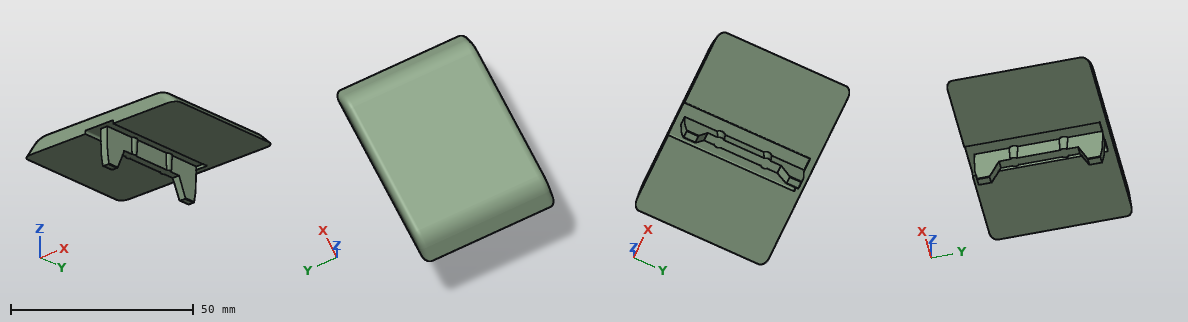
import cadquery as cq
import math

length = 56.55
width = 40.0
plate_height = 5.0
end_slope = 44.0
end_radius = 7.0
side_radius = 2.0

slot_width = 10.3
slot_depth = 1.0
slot_corner_radius = 0.35

blade_drop = 10.0
blade_half_length = 18.05
taper_start = -5.65
taper_half_length = 17.95
bend_end = -7.0
bend_half_length = 17.8
foot_outer = 17.3
foot_inner = 13.8
bridge_drop = 4.0
bridge_half_span = 11.1
blade_top_thickness = 2.5
blade_tip_thickness = 2.25
tip_chamfer = 0.15

rib_spacing = 14.05
rib_top_radius = 1.75
rib_bottom_radius = 1.5


def make_plate():
    """Plate with sloped ends, rounded along both long sides."""
    half_top = length / 2 - plate_height / math.tan(math.radians(end_slope))
    outline = [(-length / 2, 0), (length / 2, 0), (half_top, plate_height), (-half_top, plate_height)]
    plate = cq.Workplane("XZ").polyline(outline).close().extrude(width / 2, both=True)
    plate = plate.faces(">Z").edges("|Y").fillet(end_radius)
    bottom_edges = plate.faces("<Z").edges().vals()
    side_edges = [
        edge
        for side in ("<Y", ">Y")
        for edge in plate.faces(side).edges().vals()
        if not any(edge.isSame(bottom) for bottom in bottom_edges)
    ]
    return plate.newObject(side_edges).fillet(side_radius)


def make_slot():
    """Blind slot that ends level with the far end of the blade."""
    slot_length = width / 2 + blade_half_length
    slot = cq.Workplane("XY").box(slot_width, slot_length, slot_depth, centered=(True, False, False))
    slot = slot.faces(">Z").edges("|Y").fillet(slot_corner_radius)
    return slot.translate((0, -width / 2, 0))


def make_blade():
    """Two-footed blade: a side outline trimmed to a tapered thickness."""
    half_outline = [
        (blade_half_length, slot_depth),
        (taper_half_length, taper_start),
        (bend_half_length, bend_end),
        (foot_outer, -blade_drop),
        (foot_inner, -blade_drop),
        (bridge_half_span, -bridge_drop),
    ]
    mirrored = [(-y, z) for y, z in reversed(half_outline)]
    side = cq.Workplane("YZ").polyline(half_outline + mirrored).close()
    side = side.extrude(blade_top_thickness, both=True)

    half_top = blade_top_thickness / 2
    half_tip = blade_tip_thickness / 2
    section_outline = [
        (-half_top, slot_depth),
        (half_top, slot_depth),
        (half_tip, -blade_drop),
        (-half_tip, -blade_drop),
    ]
    section = cq.Workplane("XZ").polyline(section_outline).close().extrude(width / 2, both=True)
    section = section.faces("<Z").edges("|Y").chamfer(tip_chamfer)
    return side.intersect(section)


def make_rib(y):
    """Round rib, narrowing downward from the slot ceiling to the blade bridge."""
    rib_height = slot_depth + bridge_drop
    axis_base = cq.Vector(0, y, -bridge_drop)
    cone = cq.Solid.makeCone(rib_bottom_radius, rib_top_radius, rib_height, axis_base)
    return cq.Workplane(cone)


result = make_plate().cut(make_slot()).union(make_blade())
for rib_y in (-rib_spacing / 2, rib_spacing / 2):
    result = result.union(make_rib(rib_y))